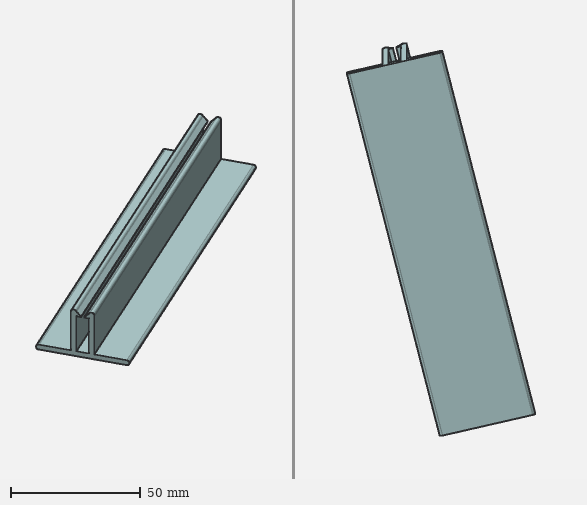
import cadquery as cq
import math

length = 152.4
base_width = 38.1
height = 21.0

base_thickness = 2.3
leg_thickness = 2.3
channel_width = 5.0

hook_gap = 1.2
hook_underside = 18.1
ramp_angle = math.radians(45)
crest_sweep = math.radians(65)


def make_base():
    """Flat flange with fully rounded long edges."""
    return (
        cq.Workplane("XZ")
        .center(0, base_thickness / 2)
        .slot2D(base_width, base_thickness)
        .extrude(length / 2, both=True)
    )


def make_leg():
    """Right-hand leg: rounded crest and a ramp, ending in an inward hook."""
    inner_x = channel_width / 2
    outer_x = inner_x + leg_thickness
    tip_x = hook_gap / 2
    crest_radius = leg_thickness / 2
    crest_x = inner_x + crest_radius
    crest_z = height - crest_radius

    ramp_x = crest_x - crest_radius * math.sin(crest_sweep)
    ramp_z = crest_z + crest_radius * math.cos(crest_sweep)
    tip_z = ramp_z - (ramp_x - tip_x) * math.tan(ramp_angle)

    foot_z = base_thickness / 2
    return (
        cq.Workplane("XZ")
        .moveTo(inner_x, foot_z)
        .lineTo(outer_x, foot_z)
        .lineTo(outer_x, crest_z)
        .threePointArc((crest_x, height), (ramp_x, ramp_z))
        .lineTo(tip_x, tip_z)
        .lineTo(tip_x, hook_underside)
        .lineTo(inner_x, hook_underside)
        .close()
        .extrude(length / 2, both=True)
    )


leg = make_leg()
result = make_base().union(leg).union(leg.mirror("YZ"))